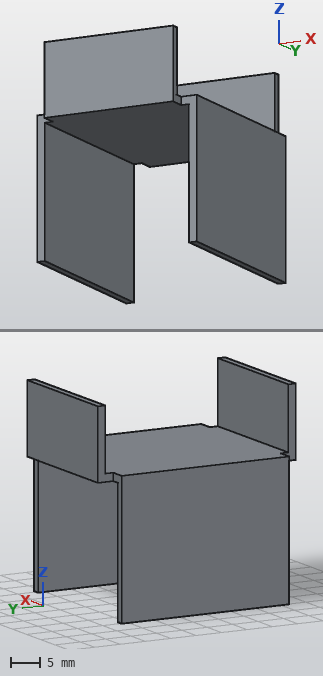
import cadquery as cq

length = 39.0
width = 31.0
height = 38.0

sheet = 1.5
leg_length = 33.0
flange_width = 25.0
leg_height = 26.0

plate_bottom = leg_height - sheet
flange_height = height - plate_bottom


def block(size_x, size_y, size_z, x, y, z):
    """Box centred on (x, y) with its underside at z."""
    box = cq.Workplane("XY").box(size_x, size_y, size_z, centered=(True, True, False))
    return box.translate((x, y, z))


result = block(width, leg_length, sheet, 0, 0, plate_bottom)
result = result.union(block(flange_width, length, sheet, 0, 0, plate_bottom))

for side in (-1, 1):
    leg_x = side * (width - sheet) / 2
    flange_y = side * (length - sheet) / 2
    result = result.union(block(sheet, leg_length, leg_height, leg_x, 0, 0))
    result = result.union(block(flange_width, sheet, flange_height, 0, flange_y, plate_bottom))

result = result.clean()